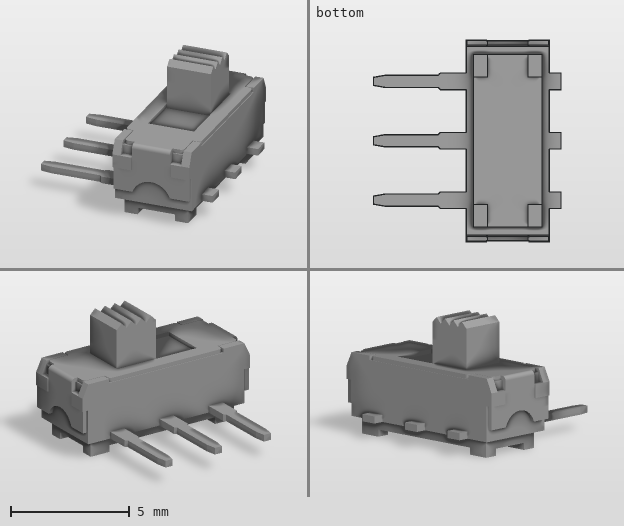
import cadquery as cq


housing_width = 3.5
housing_length = 7.94
housing_height = 2.74
overall_length = 8.5
ear_bottom = 1.55
ear_ledge = 2.14
ear_inner_x = 0.89
rail_inner_x = 1.38
rail_start_y = 2.91

base_width = 2.89
base_length = 7.28
base_height = 0.76
foot_height = 0.31
foot_gap_x = 1.71
foot_gap_y = 5.37

sheet = 0.19
cover_wide_x = 1.72
cover_wide_y = 2.87
cover_narrow_x = 1.34
cover_narrow_y = 3.91
cover_corner_radius = 0.18
flap_outer_y = 4.22
flap_neck_x = 0.87
flap_bottom = 0.54
flap_arc_half_width = 0.85
flap_arc_top = 1.15
window_width = 2.11
window_length = 4.05

knob_size = 2.0
knob_center_x = -0.02
knob_top = 4.74
tooth_count = 4

pin_pitch = 2.5
pin_thickness = 0.31
pin_tip_x = -5.65
pin_taper_x = -5.17
pin_neck_x = -2.93
pin_end_x = 2.24
pin_width = 0.705
pin_shank_width = 0.52
pin_tip_width = 0.35

end_y = housing_length / 2
pocket_floor = housing_height - sheet
knob_back_y = window_length / 2


def block(size_x, size_y, z_low, z_high):
    """Box centred on X = Y = 0 between two heights."""
    return cq.Workplane("XY").workplane(offset=z_low).rect(size_x, size_y).extrude(z_high - z_low)


def make_housing():
    half_profile = [
        (end_y, 0),
        (end_y, ear_bottom),
        (overall_length / 2, ear_bottom),
        (overall_length / 2, ear_ledge),
        (end_y, housing_height),
    ]
    mirrored = [(-y, z) for y, z in reversed(half_profile)]
    body = (
        cq.Workplane("YZ")
        .polyline(half_profile + mirrored)
        .close()
        .extrude(housing_width / 2, both=True)
    )
    body = body.cut(block(housing_width, 2 * rail_start_y, pocket_floor, housing_height))
    body = body.cut(block(2 * rail_inner_x, overall_length, pocket_floor, housing_height))
    ends = block(2 * rail_inner_x, overall_length, ear_ledge, housing_height)
    ends = ends.union(block(2 * ear_inner_x, overall_length, 0, housing_height))
    ends = ends.cut(block(housing_width, housing_length, 0, housing_height))
    return body.cut(ends)


def make_base():
    base = block(base_width, base_length, -base_height, 0)
    gap_top = foot_height - base_height
    base = base.cut(block(foot_gap_x, base_length, -base_height, gap_top))
    return base.cut(block(base_width, foot_gap_y, -base_height, gap_top))


def make_flap():
    """End flap on the -Y side, with a shallow arch in its lower edge."""
    return (
        cq.Workplane("XZ", origin=(0, -flap_outer_y + sheet, 0))
        .moveTo(-flap_neck_x, housing_height)
        .lineTo(-flap_neck_x, ear_bottom)
        .lineTo(-cover_wide_x, ear_bottom)
        .lineTo(-cover_wide_x, flap_bottom)
        .lineTo(-flap_arc_half_width, flap_bottom)
        .threePointArc((0, flap_arc_top), (flap_arc_half_width, flap_bottom))
        .lineTo(cover_wide_x, flap_bottom)
        .lineTo(cover_wide_x, ear_bottom)
        .lineTo(flap_neck_x, ear_bottom)
        .lineTo(flap_neck_x, housing_height)
        .close()
        .extrude(sheet)
    )


def make_cover():
    wide = block(2 * cover_wide_x, 2 * cover_wide_y, pocket_floor, housing_height)
    narrow = block(2 * cover_narrow_x, 2 * cover_narrow_y, pocket_floor, housing_height)
    plate = wide.edges("|Z").fillet(cover_corner_radius)
    plate = plate.union(narrow.edges("|Z").fillet(cover_corner_radius))

    strap = block(2 * flap_neck_x, 2 * flap_outer_y, pocket_floor, housing_height)
    flap = make_flap()
    strap = strap.union(flap).union(flap.mirror("XZ"))
    strap = strap.faces(">Z").edges("|X").fillet(sheet)

    window = block(window_width, window_length, pocket_floor, housing_height)
    return plate.union(strap).cut(window)


def make_knob():
    half_pitch = knob_size / tooth_count / 2
    front_y = knob_back_y - knob_size
    ridge = []
    for step in range(2 * tooth_count + 1):
        drop = half_pitch if step % 2 == 0 else 0
        ridge.append((front_y + step * half_pitch, knob_top - drop))
    outline = [(front_y, pocket_floor)] + ridge + [(knob_back_y, pocket_floor)]
    return (
        cq.Workplane("YZ", origin=(knob_center_x, 0, 0))
        .polyline(outline)
        .close()
        .extrude(knob_size / 2, both=True)
    )


def make_pin(center_y):
    shoulder_x = pin_neck_x + (pin_width - pin_shank_width) / 2
    half_outline = [
        (pin_tip_x, pin_tip_width / 2),
        (pin_taper_x, pin_shank_width / 2),
        (pin_neck_x, pin_shank_width / 2),
        (shoulder_x, pin_width / 2),
        (pin_end_x, pin_width / 2),
    ]
    mirrored = [(x, -y) for x, y in reversed(half_outline)]
    return (
        cq.Workplane("XY", origin=(0, center_y, 0))
        .polyline(half_outline + mirrored)
        .close()
        .extrude(pin_thickness)
    )


result = make_housing().union(make_base()).union(make_cover()).union(make_knob())
for row in (-1, 0, 1):
    result = result.union(make_pin(row * pin_pitch))